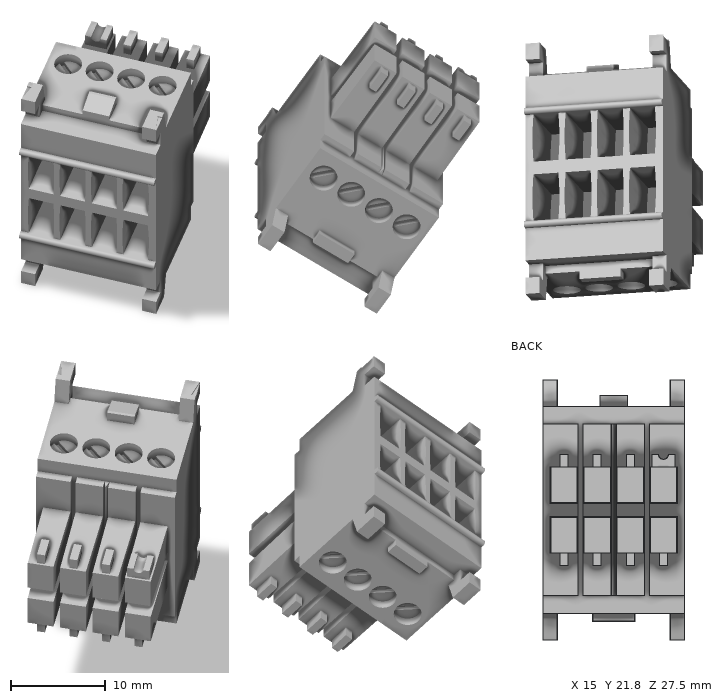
import cadquery as cq


POLES = 4
PITCH = 3.5
POLE_XS = [(i - (POLES - 1) / 2) * PITCH for i in range(POLES)]
UPPER, LOWER = 1, -1
SIDES = (1, -1)

WIDTH = 15.0
OVERALL_LENGTH = 21.79
OVERALL_HEIGHT = 27.5
HALF_WIDTH = WIDTH / 2
HALF_HEIGHT = 10.95
FRONT_HALF_HEIGHT = 10.1
FRONT_STEP_Y = 2.6
BACK_STEP_Y = 12.02
BACK_HALF_HEIGHT = 9.06
BACK_Y = 12.86

BEAD_Z = 6.22
BEAD_RADIUS = 0.35
BEAD_REACH = 0.63

OPENING_INNER_Z = 0.7
OPENING_OUTER_Z = BEAD_Z - BEAD_RADIUS
OPENING_END_WIDTH = 2.72
OPENING_MID_WIDTH = 2.94
OPENING_DEPTH = 8.0

SCREW_Y = 9.25
SCREW_DIAMETER = 2.95
SCREW_RECESS = 1.1
SCREW_SLOT_WIDTH = 0.53
SCREW_SLOT_DEPTH = 0.5
SCREW_SLOT_ANGLE = -45

FINGER_TIP_Y = OVERALL_LENGTH - BEAD_REACH
FINGER_ROOT_WIDTH = 2.95
FINGER_TIP_WIDTH = 2.78
FINGER_OUTER_Z = 4.55
FINGER_ROOT_INNER_Z = 0.7
FINGER_TIP_INNER_Z = 0.8
RIDGE_WIDTH = 0.5

KEY_FRONT_Y = 18.68
KEY_BACK_Y = 20.95
KEY_TOP_Z = 5.87
KEY_WIDTH = 0.85
WIDE_KEY_WIDTH = 2.4
KEY_GROOVE_RADIUS = 0.52

CLIP_WIDTH = 1.55
CLIP_TIP_Z = OVERALL_HEIGHT / 2
CLIP_ARM_Z = 11.97
CLIP_FRONT_Y = 0.1
CLIP_NECK_Y = 1.6
CLIP_TIP_BACK_Y = 2.8
CLIP_ROOT_BACK_Y = 3.5
CLIP_NICK_BACK_Y = 2.12
CLIP_NICK_WIDTH = 0.5
CLIP_NICK_DEPTH = 0.16

LATCH_WIDTH = 2.95
LATCH_FRONT_Z = 11.53
LATCH_TOP_Z = 12.12
LATCH_CREST_Y = 4.7
LATCH_BACK_Y = 5.0
TAB_WIDTH = 4.44
TAB_BACK_Y = 3.87
TAB_BOTTOM_Z = -11.78


def box(x_range, y_range, z_range):
    """Box between pairs of limits, given in either order."""
    sizes = [abs(r[1] - r[0]) for r in (x_range, y_range, z_range)]
    corner = tuple(min(r) for r in (x_range, y_range, z_range))
    return cq.Workplane("XY").box(*sizes, centered=False).translate(corner)


def centred(middle, size):
    return (middle - size / 2, middle + size / 2)


def side_profile(points, width, x=0.0):
    """Closed (y, z) outline extruded along X, centred on x."""
    return cq.Workplane("YZ", origin=(x, 0, 0)).polyline(points).close().extrude(width / 2, both=True)


def housing():
    front = box(centred(0, WIDTH), (0, FRONT_STEP_Y), (-FRONT_HALF_HEIGHT, FRONT_HALF_HEIGHT))
    main = box(centred(0, WIDTH), (FRONT_STEP_Y, BACK_STEP_Y), (-HALF_HEIGHT, HALF_HEIGHT))
    back = box(centred(0, WIDTH), (BACK_STEP_Y, BACK_Y), (-BACK_HALF_HEIGHT, BACK_HALF_HEIGHT))
    return front.union(main).union(back)


def back_gap(x):
    """Full-height gap through the back step, between neighbouring poles."""
    gap_width = PITCH - FINGER_ROOT_WIDTH
    return box(centred(x, gap_width), (BACK_STEP_Y, BACK_Y), (-BACK_HALF_HEIGHT, BACK_HALF_HEIGHT))


def middle_ridge():
    """Triangular ridge standing in the middle back gap."""
    half = RIDGE_WIDTH / 2
    outline = [(-half, BACK_STEP_Y), (half, BACK_STEP_Y), (0, BACK_Y)]
    return cq.Workplane("XY").polyline(outline).close().extrude(BACK_HALF_HEIGHT, both=True)


def bead(side):
    """Round-nosed bead across the front face."""
    z = side * BEAD_Z
    nose_y = BEAD_RADIUS - BEAD_REACH
    return (
        cq.Workplane("YZ")
        .moveTo(0, z - BEAD_RADIUS)
        .lineTo(nose_y, z - BEAD_RADIUS)
        .threePointArc((-BEAD_REACH, z), (nose_y, z + BEAD_RADIUS))
        .lineTo(0, z + BEAD_RADIUS)
        .close()
        .extrude(HALF_WIDTH, both=True)
    )


def wire_opening(x, side):
    """Opening with flat ends and bowed sides."""
    end = OPENING_END_WIDTH / 2
    bow = OPENING_MID_WIDTH / 2
    inner = side * OPENING_INNER_Z
    outer = side * OPENING_OUTER_Z
    middle = (inner + outer) / 2
    return (
        cq.Workplane("XZ", origin=(x, 0, 0))
        .moveTo(-end, inner)
        .lineTo(end, inner)
        .threePointArc((bow, middle), (end, outer))
        .lineTo(-end, outer)
        .threePointArc((-bow, middle), (-end, inner))
        .close()
        .extrude(-OPENING_DEPTH)
    )


def screw_recess(x, side):
    """Round recess with the slotted screw head as its floor."""
    surface = cq.Workplane("XY", origin=(x, SCREW_Y, side * HALF_HEIGHT))
    recess = surface.circle(SCREW_DIAMETER / 2).extrude(-side * SCREW_RECESS)
    slot_bottom = -side * (SCREW_RECESS + SCREW_SLOT_DEPTH)
    head = surface.circle(SCREW_DIAMETER / 2).extrude(slot_bottom)
    slot = (
        surface.transformed(rotate=(0, 0, SCREW_SLOT_ANGLE))
        .rect(SCREW_DIAMETER, SCREW_SLOT_WIDTH)
        .extrude(slot_bottom)
    )
    return recess.union(slot.intersect(head))


def finger(x, side):
    """Plug finger, tapered in width and on its inner face."""
    height = FINGER_OUTER_Z - FINGER_ROOT_INNER_Z
    root = FINGER_ROOT_WIDTH / 2
    tip = FINGER_TIP_WIDTH / 2
    plan = [(x - root, BACK_STEP_Y), (x + root, BACK_STEP_Y), (x + root, BACK_Y),
            (x + tip, FINGER_TIP_Y), (x - tip, FINGER_TIP_Y), (x - root, BACK_Y)]
    block = (
        cq.Workplane("XY", origin=(0, 0, side * FINGER_ROOT_INNER_Z))
        .polyline(plan)
        .close()
        .extrude(side * height)
    )
    elevation = [(BACK_STEP_Y, side * FINGER_ROOT_INNER_Z), (BACK_Y, side * FINGER_ROOT_INNER_Z),
                 (FINGER_TIP_Y, side * FINGER_TIP_INNER_Z), (FINGER_TIP_Y, side * FINGER_OUTER_Z),
                 (BACK_STEP_Y, side * FINGER_OUTER_Z)]
    return block.intersect(side_profile(elevation, FINGER_ROOT_WIDTH, x))


def key(x, side, width):
    return box(centred(x, width), (KEY_FRONT_Y, KEY_BACK_Y), (side * FINGER_OUTER_Z, side * KEY_TOP_Z))


def grooved_key(x, side):
    """Wide key with a round groove along Y."""
    groove = (
        cq.Workplane("XZ", origin=(x, KEY_FRONT_Y, side * KEY_TOP_Z))
        .circle(KEY_GROOVE_RADIUS)
        .extrude(KEY_FRONT_Y - KEY_BACK_Y)
    )
    return key(x, side, WIDE_KEY_WIDTH).cut(groove)


def clip_x(x_side):
    return x_side * (HALF_WIDTH - CLIP_WIDTH / 2)


def clip(x_side, z_side):
    """Hooked clip on a corner of the housing."""
    outline = [(CLIP_NECK_Y, FRONT_HALF_HEIGHT), (CLIP_NECK_Y, CLIP_ARM_Z), (CLIP_FRONT_Y, CLIP_ARM_Z),
               (CLIP_FRONT_Y, CLIP_TIP_Z), (CLIP_TIP_BACK_Y, CLIP_TIP_Z),
               (CLIP_ROOT_BACK_Y, HALF_HEIGHT), (CLIP_ROOT_BACK_Y, FRONT_HALF_HEIGHT)]
    return side_profile([(y, z_side * z) for y, z in outline], CLIP_WIDTH, clip_x(x_side))


def clip_nick(x_side):
    """Shallow triangular nick in the outer top edge of an upper clip."""
    outer = x_side * HALF_WIDTH
    inner = x_side * (HALF_WIDTH - CLIP_NICK_WIDTH)
    outline = [(outer, CLIP_NICK_BACK_Y), (inner, CLIP_NICK_BACK_Y), (outer, CLIP_FRONT_Y)]
    return cq.Workplane("XY", origin=(0, 0, CLIP_TIP_Z)).polyline(outline).close().extrude(-CLIP_NICK_DEPTH)


def latch():
    """Ramped latch on the top face."""
    outline = [(FRONT_STEP_Y, FRONT_HALF_HEIGHT), (FRONT_STEP_Y, LATCH_FRONT_Z), (LATCH_CREST_Y, LATCH_TOP_Z),
               (LATCH_BACK_Y, LATCH_TOP_Z), (LATCH_BACK_Y, FRONT_HALF_HEIGHT)]
    return side_profile(outline, LATCH_WIDTH)


def tab():
    return box(centred(0, TAB_WIDTH), (FRONT_STEP_Y, TAB_BACK_Y), (TAB_BOTTOM_Z, -FRONT_HALF_HEIGHT))


body = housing()
for left_x, right_x in zip(POLE_XS, POLE_XS[1:]):
    body = body.cut(back_gap((left_x + right_x) / 2))
body = body.union(middle_ridge()).union(latch()).union(tab())

for row in SIDES:
    body = body.union(bead(row))
    for pole_x in POLE_XS:
        body = body.cut(wire_opening(pole_x, row)).cut(screw_recess(pole_x, row))
        body = body.union(finger(pole_x, row))
    for x_side in SIDES:
        body = body.union(clip(x_side, row))

body = body.union(grooved_key(POLE_XS[0], UPPER)).union(key(POLE_XS[0], LOWER, KEY_WIDTH))
for pole_x in POLE_XS[1:]:
    for row in SIDES:
        body = body.union(key(pole_x, row, KEY_WIDTH))

for x_side in SIDES:
    body = body.cut(clip_nick(x_side))

result = body